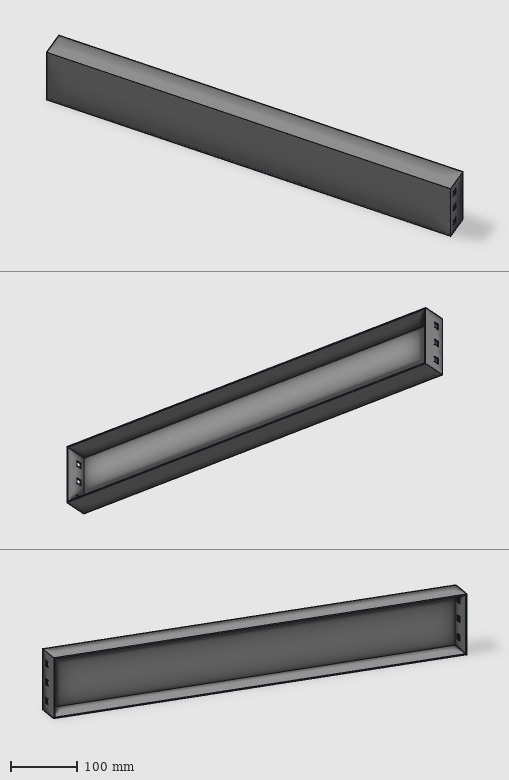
import cadquery as cq

LENGTH = 679.0
DEPTH = 42.0
HEIGHT = 98.0
WALL = 2.0

HOLE_SIDE = 9.0
HOLE_SPACING = 30.0
HOLE_FROM_FRONT = 14.5
HOLE_COUNT = 3


def open_box():
    """Front, top, bottom and end walls around a cavity open toward +Y."""
    body = cq.Workplane("XY").box(LENGTH, DEPTH, HEIGHT)
    cavity = cq.Workplane("XY").box(LENGTH - 2 * WALL, DEPTH, HEIGHT - 2 * WALL)
    return body.cut(cavity.translate((0, WALL, 0)))


def end_holes():
    """Bars along X that pierce both end walls."""
    hole_y = HOLE_FROM_FRONT - DEPTH / 2
    return (
        cq.Workplane("YZ")
        .center(hole_y, 0)
        .rarray(1, HOLE_SPACING, 1, HOLE_COUNT)
        .rect(HOLE_SIDE, HOLE_SIDE)
        .extrude(LENGTH / 2, both=True)
    )


result = open_box().cut(end_holes())